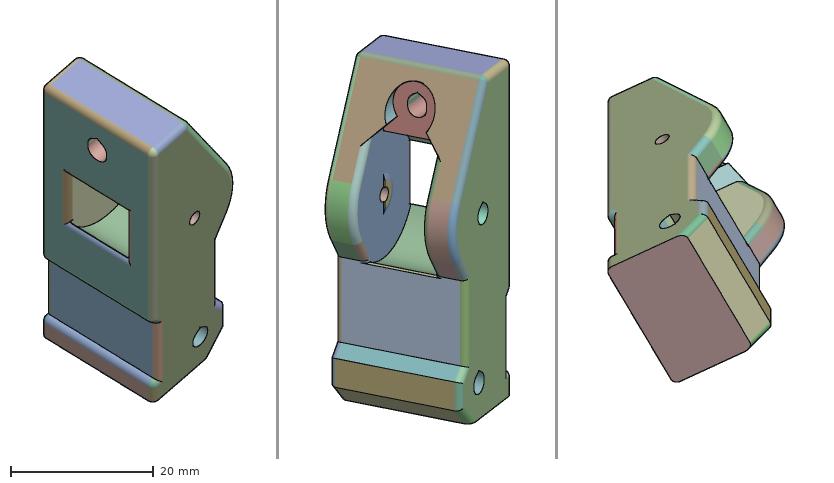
import cadquery as cq
import math

WIDTH = 20.69
DEPTH = 17.94
HEIGHT = 51.22
EDGE_RADIUS = 1.0

PIN_Y = 8.98
PIN_Z = 30.84
BACK_RADIUS = DEPTH - PIN_Y
BACK_FACE_Y = 14.0
UPPER_SLOPE_ANGLE = 29.0
LOWER_SLOPE_ANGLE = 35.0

LUG_Y = 15.78
LUG_TOP_Z = 7.6
LUG_BOTTOM_Z = 3.2

RELIEF_DEPTH = 1.05
RELIEF_BOTTOM_Z = 3.85
RELIEF_TOP_Z = 15.25

POCKET_RADIUS = 9.7
POCKET_WIDTH = 10.6
WINDOW_HEIGHT = 9.7
WINDOW_Z = 31.2
WINDOW_DEPTH = 2.0
OPENING_BOTTOM_Z = 22.1
EAVES_Z = 41.0

BOSS_BASE_DIAMETER = 6.0
BOSS_TOP_DIAMETER = 4.4
BOSS_HEIGHT = 0.2

TIP_PITCH = 32.0
PIN_CLEARANCE_DIAMETER = 3.1
PIN_THREAD_DIAMETER = 2.2
FOOT_HOLE_DIAMETER = 3.25
FOOT_HOLE_Y = 10.2
FOOT_HOLE_Z = 5.5

CORD_TIP_Z = 47.4
CORD_FRONT_WIDTH = 3.4
CORD_FRONT_BOTTOM_Z = 43.0
CORD_BACK_WIDTH = 3.0
CORD_BACK_BOTTOM_Z = 43.6
COUNTERBORE_DIAMETER = 7.6
COUNTERBORE_Z = 45.3
COUNTERBORE_FLOOR_Y = PIN_Y

CUT_MARGIN = 5.0
TOLERANCE = 0.05
HALF_WIDTH = WIDTH / 2


def back_arc_point(angle):
    """Point (y, z) on the rounded back, at an angle above the horizontal through the pin."""
    turn = math.radians(angle)
    return PIN_Y + BACK_RADIUS * math.cos(turn), PIN_Z + BACK_RADIUS * math.sin(turn)


def side_profile():
    """Closed outline of the body in the YZ plane."""
    arc_top = back_arc_point(UPPER_SLOPE_ANGLE)
    arc_bottom = back_arc_point(-LOWER_SLOPE_ANGLE)
    top_back_y = arc_top[0] - (HEIGHT - arc_top[1]) * math.tan(math.radians(UPPER_SLOPE_ANGLE))
    slope_foot_drop = (arc_bottom[0] - BACK_FACE_Y) / math.tan(math.radians(LOWER_SLOPE_ANGLE))
    return (
        cq.Workplane("YZ")
        .moveTo(0, 0)
        .lineTo(0, RELIEF_BOTTOM_Z)
        .lineTo(RELIEF_DEPTH, RELIEF_BOTTOM_Z)
        .lineTo(RELIEF_DEPTH, RELIEF_TOP_Z)
        .lineTo(0, RELIEF_TOP_Z + RELIEF_DEPTH)
        .lineTo(0, HEIGHT)
        .lineTo(top_back_y, HEIGHT)
        .lineTo(*arc_top)
        .threePointArc(back_arc_point(0), arc_bottom)
        .lineTo(BACK_FACE_Y, arc_bottom[1] - slope_foot_drop)
        .lineTo(BACK_FACE_Y, LUG_TOP_Z + LUG_Y - BACK_FACE_Y)
        .lineTo(LUG_Y, LUG_TOP_Z)
        .lineTo(LUG_Y, LUG_BOTTOM_Z)
        .lineTo(LUG_Y - LUG_BOTTOM_Z, 0)
        .close()
    )


def edge_box(y_min, y_max, z_min, z_max):
    """Selector for edges at any X whose centres lie inside the given Y and Z limits."""
    return cq.selectors.BoxSelector((-WIDTH, y_min, z_min), (WIDTH, y_max, z_max))


def make_body():
    """Extruded body with rounded side outlines and rounded cross edges; the bottom stays sharp."""
    body = side_profile().extrude(HALF_WIDTH, both=True)
    side_edges = body.faces("<X or >X").edges(
        edge_box(-TOLERANCE, DEPTH, TOLERANCE, HEIGHT + TOLERANCE)
    )
    top_edges = body.faces(">Z").edges("|X")
    relief_top_z = RELIEF_TOP_Z + RELIEF_DEPTH
    relief_edges = body.edges("|X").edges(
        edge_box(-TOLERANCE, TOLERANCE, RELIEF_BOTTOM_Z - TOLERANCE, relief_top_z + TOLERANCE)
    )
    return side_edges.add(top_edges).add(relief_edges).fillet(EDGE_RADIUS)


def cut_window(body):
    """Rectangular window through the front wall into the pocket, with a rounded rim."""
    window = (
        cq.Workplane("XZ", origin=(0, 0, WINDOW_Z))
        .rect(POCKET_WIDTH, WINDOW_HEIGHT)
        .extrude(-WINDOW_DEPTH)
    )
    rim_box = edge_box(-TOLERANCE, TOLERANCE, WINDOW_Z - WINDOW_HEIGHT, WINDOW_Z + WINDOW_HEIGHT)
    rim_limit = POCKET_WIDTH / 2 + TOLERANCE
    opened = body.cut(window)
    rim = [
        edge for edge in opened.edges(rim_box).vals()
        if edge.BoundingBox().xmax < rim_limit and edge.BoundingBox().xmin > -rim_limit
    ]
    return opened.newObject(rim).fillet(EDGE_RADIUS)


def is_back_rim(edge):
    """True for the side edges of the back opening, where it meets the back of the body."""
    box = edge.BoundingBox()
    half = POCKET_WIDTH / 2
    on_back = box.ymax > BACK_FACE_Y - TOLERANCE and box.ymin > PIN_Y + TOLERANCE
    on_side = box.xlen < TOLERANCE and abs(abs(box.center.x) - half) < TOLERANCE
    return on_back and on_side


def cut_back_opening(body):
    """Back opening of the pocket under a 45 degree gabled roof, with rounded side edges."""
    half = POCKET_WIDTH / 2
    opening = (
        cq.Workplane("XZ", origin=(0, PIN_Y, 0))
        .moveTo(-half, OPENING_BOTTOM_Z)
        .lineTo(half, OPENING_BOTTOM_Z)
        .lineTo(half, EAVES_Z)
        .lineTo(0, EAVES_Z + half)
        .lineTo(-half, EAVES_Z)
        .close()
        .extrude(-(BACK_RADIUS + CUT_MARGIN))
    )
    opened = body.cut(opening)
    rim = [edge for edge in opened.edges().vals() if is_back_rim(edge)]
    return opened.newObject(rim).fillet(EDGE_RADIUS)


def make_wheel_pocket():
    """Cylindrical wheel space around the pin, less the spacer bosses on its two walls."""
    half = POCKET_WIDTH / 2
    wheel = cq.Workplane("YZ").center(PIN_Y, PIN_Z).circle(POCKET_RADIUS).extrude(half, both=True)
    for wall_x, inward in ((-half, 1), (half, -1)):
        boss = (
            cq.Workplane("YZ", origin=(wall_x, PIN_Y, PIN_Z))
            .circle(BOSS_BASE_DIAMETER / 2)
            .workplane(offset=inward * BOSS_HEIGHT)
            .circle(BOSS_TOP_DIAMETER / 2)
            .loft()
        )
        wheel = wheel.cut(boss)
    return wheel


def teardrop(plane, bottom_z, width, tip_z):
    """Round hole outline with a pointed top; height beyond a plain teardrop becomes straight sides."""
    radius = width / 2
    pitch = math.radians(TIP_PITCH)
    lower_z = bottom_z + radius
    upper_z = tip_z - radius / math.cos(pitch)
    flank_x = radius * math.sin(pitch)
    flank_z = upper_z + radius * math.cos(pitch)
    mid_turn = (math.pi / 2 - pitch) / 2
    mid_x = radius * math.cos(mid_turn)
    mid_z = upper_z + radius * math.sin(mid_turn)
    return (
        plane.moveTo(0, tip_z)
        .lineTo(flank_x, flank_z)
        .threePointArc((mid_x, mid_z), (radius, upper_z))
        .lineTo(radius, lower_z)
        .threePointArc((0, bottom_z), (-radius, lower_z))
        .lineTo(-radius, upper_z)
        .threePointArc((-mid_x, mid_z), (-flank_x, flank_z))
        .close()
    )


def round_teardrop(plane, diameter):
    """Plain teardrop outline about the origin of a workplane."""
    radius = diameter / 2
    pitch = math.radians(TIP_PITCH)
    flank_x = radius * math.sin(pitch)
    flank_y = radius * math.cos(pitch)
    return (
        plane.moveTo(0, radius / math.cos(pitch))
        .lineTo(flank_x, flank_y)
        .threePointArc((0, -radius), (-flank_x, flank_y))
        .close()
    )


def make_pin_hole():
    """Clearance hole in the -X wall and a smaller thread hole in the +X wall."""
    clearance = round_teardrop(
        cq.Workplane("YZ", origin=(-HALF_WIDTH, PIN_Y, PIN_Z)), PIN_CLEARANCE_DIAMETER
    ).extrude(HALF_WIDTH)
    thread = (
        cq.Workplane("YZ", origin=(0, PIN_Y, PIN_Z)).circle(PIN_THREAD_DIAMETER / 2).extrude(HALF_WIDTH)
    )
    return clearance.union(thread)


def make_foot_hole():
    """Teardrop hole across the whole foot."""
    plane = cq.Workplane("YZ", origin=(0, FOOT_HOLE_Y, FOOT_HOLE_Z))
    return round_teardrop(plane, FOOT_HOLE_DIAMETER).extrude(HALF_WIDTH, both=True)


def make_cord_hole():
    """Tapered teardrop hole through the front wall, and the counterbore open to the sloping back."""
    front = teardrop(cq.Workplane("XZ"), CORD_FRONT_BOTTOM_Z, CORD_FRONT_WIDTH, CORD_TIP_Z)
    back_plane = front.workplane(offset=-COUNTERBORE_FLOOR_Y)
    tapered = teardrop(back_plane, CORD_BACK_BOTTOM_Z, CORD_BACK_WIDTH, CORD_TIP_Z).loft(ruled=True)
    counterbore = (
        cq.Workplane("XZ", origin=(0, COUNTERBORE_FLOOR_Y, COUNTERBORE_Z))
        .circle(COUNTERBORE_DIAMETER / 2)
        .extrude(-BACK_FACE_Y)
    )
    return tapered.union(counterbore)


result = cut_back_opening(cut_window(make_body()))
for tool in (make_wheel_pocket(), make_pin_hole(), make_foot_hole(), make_cord_hole()):
    result = result.cut(tool)